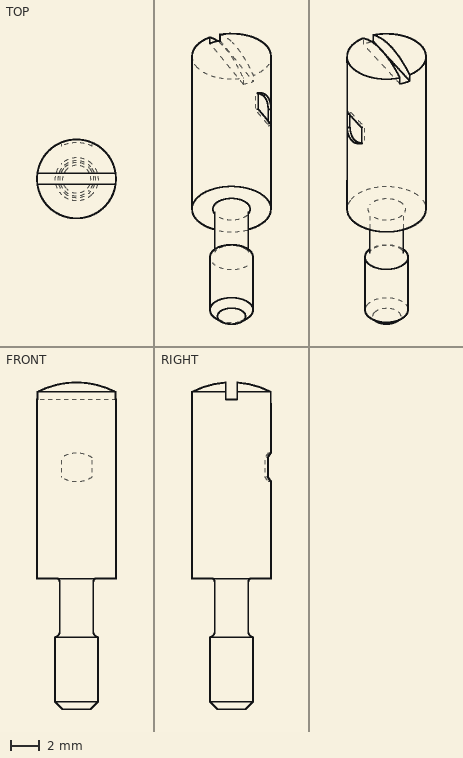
import cadquery as cq
import math

total_length = 22.75

knob_diameter = 5.5
knob_base_z = 9.1
dome_shoulder_z = 22.08
slot_width = 0.77
slot_depth = 1.18

recess_floor_diameter = 5.1
recess_center_z = 16.85
recess_height = 2.0
recess_width = 2.14
recess_side_height = 1.36

shank_diameter = 3.0
shank_top_z = 5.03
tip_diameter = 1.95
neck_diameter = 2.35
neck_top_diameter = 2.6
neck_fillet_radius = 0.4

knob_radius = knob_diameter / 2
shank_radius = shank_diameter / 2
neck_radius = neck_diameter / 2


def dome_apex_and_radius():
    """Apex height and sphere radius of the dome whose slot edges peak exactly at the total length."""
    edge_offset = slot_width / 2
    edge_rise = total_length - dome_shoulder_z
    center_drop = (knob_radius**2 - edge_offset**2 - edge_rise**2) / (2 * edge_rise)
    sphere_radius = math.hypot(knob_radius, center_drop)
    return dome_shoulder_z - center_drop + sphere_radius, sphere_radius


def knob_blank():
    """Cylinder with a spherical top."""
    apex_z, sphere_radius = dome_apex_and_radius()
    return (
        cq.Workplane("XZ")
        .moveTo(0, knob_base_z)
        .lineTo(knob_radius, knob_base_z)
        .lineTo(knob_radius, dome_shoulder_z)
        .radiusArc((0, apex_z), -sphere_radius)
        .close()
        .revolve(360, (0, 0, 0), (0, 1, 0))
    )


def driver_slot():
    """Screwdriver slot running right across the dome along X."""
    slot_floor = cq.Workplane("XY").workplane(offset=total_length - slot_depth)
    return slot_floor.rect(2 * knob_diameter, slot_width).extrude(2 * slot_depth)


def marking_recess():
    """Bow-ended recess in the +Y side with a floor concentric to the knob."""
    half_width = recess_width / 2
    half_side = recess_side_height / 2
    half_height = recess_height / 2
    pocket = (
        cq.Workplane("XZ", origin=(0, 0, recess_center_z))
        .moveTo(-half_width, -half_side)
        .threePointArc((0, -half_height), (half_width, -half_side))
        .lineTo(half_width, half_side)
        .threePointArc((0, half_height), (-half_width, half_side))
        .close()
        .extrude(-knob_diameter)
    )
    core_base = cq.Workplane("XY").workplane(offset=knob_base_z)
    core = core_base.circle(recess_floor_diameter / 2).extrude(total_length - knob_base_z)
    return pocket.cut(core)


def make_knob():
    return knob_blank().cut(driver_slot()).cut(marking_recess())


def fillet_height(radial_step):
    """Axial length of a neck fillet that is tangent to the neck and flares out by radial_step."""
    return math.sqrt(neck_fillet_radius**2 - (neck_fillet_radius - radial_step) ** 2)


def make_shank():
    """Turned shank with a chamfered tip; its neck flares at both ends and butts against the knob."""
    tip_radius = tip_diameter / 2
    chamfer_height = shank_radius - tip_radius
    neck_top_radius = neck_top_diameter / 2
    neck_lower_z = shank_top_z + fillet_height(shank_radius - neck_radius)
    neck_upper_z = knob_base_z - fillet_height(neck_top_radius - neck_radius)
    return (
        cq.Workplane("XZ")
        .moveTo(0, 0)
        .lineTo(tip_radius, 0)
        .lineTo(shank_radius, chamfer_height)
        .lineTo(shank_radius, shank_top_z)
        .radiusArc((neck_radius, neck_lower_z), neck_fillet_radius)
        .lineTo(neck_radius, neck_upper_z)
        .radiusArc((neck_top_radius, knob_base_z), neck_fillet_radius)
        .lineTo(0, knob_base_z)
        .close()
        .revolve(360, (0, 0, 0), (0, 1, 0))
    )


knob = make_knob()
shank = make_shank()

result = cq.Compound.makeCompound([knob.val(), shank.val()])